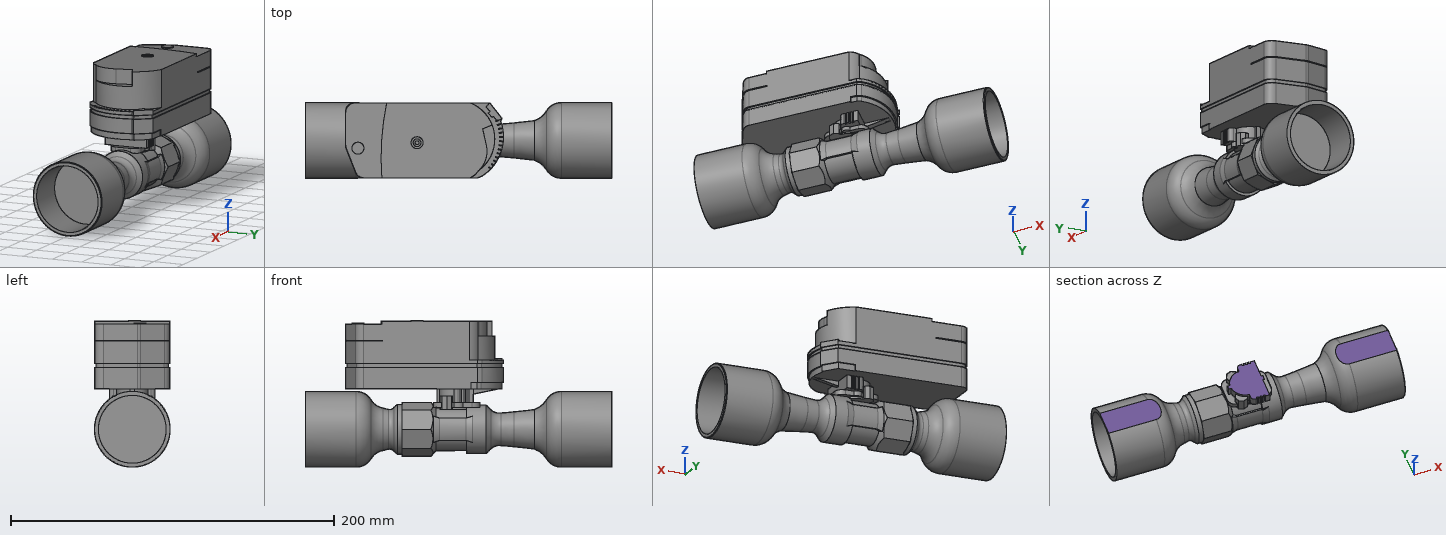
import cadquery as cq


TOTAL_LENGTH = 190.0
SOCKET_RADIUS = 23.5
SOCKET_BORE_RADIUS = 21.0
SOCKET_LENGTH = 31.5
SOCKET_DEPTH = 26.5
SHOULDER_LENGTH = 9.2
SHOULDER_DROP = 5.2
THROAT_LENGTH = 7.5
LEFT_THROAT_RADIUS = 13.2
RIGHT_THROAT_RADIUS = 12.3
RIM_CHAMFER = 0.5

LEFT_TUBE_RADIUS = 12.4
LEFT_TUBE_END = 51.5
LEFT_FLARE_END = 55.0
LEFT_FLARE_RADIUS = 13.7
LEFT_COLLAR_START = 57.0
LEFT_COLLAR_RADIUS = 15.5
COLLAR_CONE_END = 114.9
COLLAR_CONE_RADIUS = 12.2
REDUCER_START = 121.2
REDUCER_START_RADIUS = 10.2
REDUCER_MIDDLE = 129.2
REDUCER_MIDDLE_RADIUS = 10.9

NUT_START = 60.0
NUT_END = 81.0
NUT_RADIUS = 16.7
NUT_SIDES = 8
NUT_BEVEL_START = 77.8
BODY_RADIUS = 13.3
BODY_COLLAR_START = 99.8
BODY_COLLAR_END = 112.0
BODY_COLLAR_RADIUS = 15.1
STRIP_RADIUS = 14.2
STRIP_HALF_HEIGHT = 6.9
STRIP_FLARED_HALF_HEIGHT = 8.2
STRIP_START = 79.4
STRIP_STRAIGHT_START = 83.0
STRIP_STRAIGHT_END = 99.5
STRIP_END = 103.6

STEM_X = 92.8
STEM_RADIUS = 9.7
STEM_RIB_REACH = 11.3
STEM_RIB_WIDTH = 2.8
BRACKET_START = 92.1
BRACKET_END = 104.1
BRACKET_HALF_WIDTH = 14.2
BRACKET_CORNER_RADIUS = 2.5
BRACKET_GROOVES_X = (95.8, 98.1, 100.2)
BRACKET_GROOVE_WIDTH = 1.0
BRACKET_GROOVE_DEPTH = 1.0
FLANGE_START = 79.3
FLANGE_END = 108.2
FLANGE_WIDTH = 20.0
FLANGE_TOP = 16.6
FLANGE_BOTTOM = 13.5
FLANGE_CORNER_RADIUS = 5.0
STEM_NUT_X = 87.6
STEM_NUT_DIAMETER = 8.4
STEM_NUT_Y = 8.0
STEM_NUT_SIDES = 8
STEM_NUT_TOP = 20.6
STEM_NUT_BOTTOM = 12.4
BOSS_X = 94.8
BOSS_RADIUS = 3.4
BOSS_Y = 8.0
GUSSET_END = 120.0
GUSSET_LOW = 21.7
GUSSET_WIDTH = 3.0

HOUSING_LEFT = 24.9
HOUSING_HALF_WIDTH = 23.3
HOUSING_BOTTOM = 25.0
HOUSING_TOP = 43.0
CORNER_RADIUS = 5.5
SLANT_TOP_Y = -4.2
SLANT_BOTTOM_X = 32.4
COVER_TOP = 67.0
COVER_ARC_START = (102.0, HOUSING_HALF_WIDTH)
COVER_ARC_MIDDLE = (117.3, 1.0)
COVER_ARC_END = (107.0, -18.9)
COVER_CORNER_MIDDLE = (104.5, -21.7)
COVER_CORNER_X = 101.5
NOSE_TIP = 122.7
NOSE_RIGHT = 125.0
NOSE_BOTTOM_X = 106.5
NOSE_CORNER_TOP = (114.2, HOUSING_HALF_WIDTH)
NOSE_CORNER_SIDE = (121.9, 13.5)
NOSE_ARC_START = (121.0, 12.0)
NOSE_ARC_MIDDLE = (NOSE_TIP, 1.0)
NOSE_ARC_END = (109.3, -22.2)

SEAM_BOTTOM = 38.3
SEAM_TOP = 40.6
SEAM_DEPTH = 0.8
LID_SEAM_Z = 54.5
LID_SEAM_HEIGHT = 0.5
LID_SEAM_DEPTH = 0.4
LID_SEAM_END = 47.8
FOOT_START = 102.5
FOOT_TOP = 29.0
FOOT_INSET = 0.9

LID_TOP = 65.1
LID_EDGE = ((50.4, HOUSING_HALF_WIDTH), (47.0, -5.7), (47.4, -HOUSING_HALF_WIDTH))
LID_BUTTON = (32.6, -4.8)
COVER_SCREW = (69.2, -1.4)
SCREW_RADIUS = 3.7
LID_BUTTON_HEIGHT = 0.6
SCREW_HEIGHT = 0.3
SCREW_RECESS_RADIUS = 2.4
SCREW_PIN_RADIUS = 1.2

POCKET_FLOOR = 57.6
POCKET_RIM = (115.9, 9.7)
POCKET_CORNER = (109.8, 7.2)
POCKET_CURVE_START = (112.1, -3.0)
POCKET_CURVE_END = (106.8, -19.2)
POCKET_OUTSIDE_X = 120.0

MARKER_TOP = 43.9
MARKER_OUTLINE = (
    NOSE_CORNER_TOP,
    NOSE_CORNER_SIDE,
    (118.7, 12.0),
    (116.5, 14.9),
    (115.7, 14.2),
    (113.2, 16.9),
    (114.4, 17.9),
    (111.9, 20.8),
)
SCALE_MARKS = 13
SCALE_FIRST_ANGLE = 24.0
SCALE_LAST_ANGLE = -41.0
SCALE_CENTER = (93.6, 1.0)
SCALE_MARK_RADIUS = 27.6
SCALE_MARK_LENGTH = 1.8
SCALE_MARK_WIDTH = 0.6
SCALE_MARK_DEPTH = 0.3


def box(x0, x1, y0, y1, z0, z1):
    """Box between opposite corners."""
    return cq.Workplane("XY").box(x1 - x0, y1 - y0, z1 - z0, centered=False).translate((x0, y0, z0))


def disc(center, radius, bottom, top):
    """Upright cylinder from bottom to top."""
    return cq.Workplane("XY", origin=(*center, bottom)).circle(radius).extrude(top - bottom)


def around_flow_axis(profile):
    """Full turn of an XY profile about X."""
    return profile.close().revolve(360, (0, 0, 0), (1, 0, 0))


def socket_end(throat_radius):
    """Socket at x = 0 with its rounded shoulder, narrowing to throat_radius."""
    shoulder_end = SOCKET_LENGTH + SHOULDER_LENGTH
    throat_end = shoulder_end + THROAT_LENGTH
    profile = (
        cq.Workplane("XY")
        .lineTo(0, SOCKET_RADIUS)
        .lineTo(SOCKET_LENGTH, SOCKET_RADIUS)
        .tangentArcPoint((shoulder_end, SOCKET_RADIUS - SHOULDER_DROP), relative=False)
        .tangentArcPoint((throat_end, throat_radius), relative=False)
        .lineTo(throat_end, 0)
    )
    bore = cq.Workplane("YZ").circle(SOCKET_BORE_RADIUS).extrude(SOCKET_DEPTH)
    return around_flow_axis(profile).cut(bore)


def tube_and_body():
    """Turned part between the two sockets."""
    start = SOCKET_LENGTH + SHOULDER_LENGTH + THROAT_LENGTH
    end = TOTAL_LENGTH - start
    profile = (
        cq.Workplane("XY")
        .moveTo(start, 0)
        .lineTo(start, LEFT_THROAT_RADIUS)
        .lineTo(LEFT_TUBE_END, LEFT_TUBE_RADIUS)
        .tangentArcPoint((LEFT_FLARE_END, LEFT_FLARE_RADIUS), relative=False)
        .lineTo(LEFT_COLLAR_START, LEFT_COLLAR_RADIUS)
        .lineTo(NUT_START, LEFT_COLLAR_RADIUS)
        .lineTo(NUT_START, BODY_RADIUS)
        .lineTo(BODY_COLLAR_START, BODY_RADIUS)
        .lineTo(BODY_COLLAR_START, BODY_COLLAR_RADIUS)
        .lineTo(BODY_COLLAR_END, BODY_COLLAR_RADIUS)
        .lineTo(COLLAR_CONE_END, COLLAR_CONE_RADIUS)
        .tangentArcPoint((REDUCER_START, REDUCER_START_RADIUS), relative=False)
        .lineTo(REDUCER_MIDDLE, REDUCER_MIDDLE_RADIUS)
        .lineTo(end, RIGHT_THROAT_RADIUS)
        .lineTo(end, 0)
    )
    return around_flow_axis(profile)


def octagon_nut():
    """Octagon with a corner facing -Y, bevelled toward the body."""
    nut = (
        cq.Workplane("YZ", origin=(NUT_START, 0, 0))
        .polygon(NUT_SIDES, 2 * NUT_RADIUS)
        .extrude(NUT_END - NUT_START)
    )
    envelope = around_flow_axis(
        cq.Workplane("XY")
        .moveTo(NUT_START, 0)
        .lineTo(NUT_START, NUT_RADIUS)
        .lineTo(NUT_BEVEL_START, NUT_RADIUS)
        .lineTo(NUT_END, BODY_RADIUS)
        .lineTo(NUT_END, 0)
    )
    return nut.intersect(envelope)


def strip_outline():
    """Slab behind the side strip's outline, from the flow axis out past the body on -Y."""
    corners = (
        (STRIP_START, STRIP_FLARED_HALF_HEIGHT),
        (STRIP_STRAIGHT_START, STRIP_HALF_HEIGHT),
        (STRIP_STRAIGHT_END, STRIP_HALF_HEIGHT),
        (STRIP_END, STRIP_FLARED_HALF_HEIGHT),
    )
    lower_corners = [(x, -z) for x, z in reversed(corners)]
    return cq.Workplane("XZ").polyline([*corners, *lower_corners]).close().extrude(NUT_RADIUS)


def strip_round():
    """Turned shape of the side strip's surface, rising to the collar at both ends."""
    return around_flow_axis(
        cq.Workplane("XY")
        .moveTo(STRIP_START, 0)
        .lineTo(STRIP_START, BODY_COLLAR_RADIUS)
        .lineTo(STRIP_STRAIGHT_START, STRIP_RADIUS)
        .lineTo(STRIP_STRAIGHT_END, STRIP_RADIUS)
        .lineTo(STRIP_END, BODY_COLLAR_RADIUS)
        .lineTo(STRIP_END, 0)
    )


def valve():
    slabs = strip_outline().union(strip_outline().mirror("XZ"))
    body = tube_and_body().cut(slabs).union(slabs.intersect(strip_round()))
    right_end = socket_end(RIGHT_THROAT_RADIUS).mirror("YZ").translate((TOTAL_LENGTH, 0, 0))
    outer_rim = cq.selectors.RadiusNthSelector(-1)
    right_end = right_end.faces(">X").edges("%CIRCLE").edges(outer_rim).chamfer(RIM_CHAMFER)
    return body.union(octagon_nut()).union(socket_end(LEFT_THROAT_RADIUS)).union(right_end)


def bracket():
    """Block beside the stem, with upright grooves in both sides."""
    block = box(
        BRACKET_START, BRACKET_END, -BRACKET_HALF_WIDTH, BRACKET_HALF_WIDTH, FLANGE_TOP, HOUSING_BOTTOM
    )
    block = block.edges("|Z and <X").fillet(BRACKET_CORNER_RADIUS)
    inner = BRACKET_HALF_WIDTH - BRACKET_GROOVE_DEPTH
    for x in BRACKET_GROOVES_X:
        groove_end = x + BRACKET_GROOVE_WIDTH
        groove = box(x, groove_end, inner, BRACKET_HALF_WIDTH, FLANGE_TOP, HOUSING_BOTTOM)
        block = block.cut(groove).cut(groove.mirror("XZ"))
    return block


def bonnet():
    """Flange, stem and stiffening that carry the actuator."""
    half_flange = FLANGE_WIDTH / 2
    flange = box(FLANGE_START, FLANGE_END, -half_flange, half_flange, FLANGE_BOTTOM, FLANGE_TOP)
    flange = flange.edges("|Z").fillet(FLANGE_CORNER_RADIUS)
    stem = disc((STEM_X, 0), STEM_RADIUS, STEM_NUT_BOTTOM, HOUSING_BOTTOM)
    half_rib = STEM_RIB_WIDTH / 2
    rib = box(STEM_X - STEM_RIB_REACH, STEM_X, -half_rib, half_rib, 0, HOUSING_BOTTOM)
    gusset = (
        cq.Workplane("XZ")
        .moveTo(STEM_X, GUSSET_LOW)
        .lineTo(BRACKET_END, GUSSET_LOW)
        .lineTo(GUSSET_END, HOUSING_BOTTOM)
        .lineTo(STEM_X, HOUSING_BOTTOM)
        .close()
        .extrude(GUSSET_WIDTH / 2, both=True)
    )
    stem_nut = (
        cq.Workplane("XY", origin=(STEM_NUT_X, 0, STEM_NUT_BOTTOM))
        .polygon(STEM_NUT_SIDES, STEM_NUT_DIAMETER)
        .extrude(STEM_NUT_TOP - STEM_NUT_BOTTOM)
    )
    supports = flange.union(stem).union(rib).union(gusset).union(bracket())
    for side in (-1, 1):
        supports = supports.union(stem_nut.translate((0, side * STEM_NUT_Y, 0)))
        supports = supports.union(disc((BOSS_X, side * BOSS_Y), BOSS_RADIUS, FLANGE_BOTTOM, FLANGE_TOP))
    return supports


def left_end_outline(first_x):
    """Open outline from (first_x, -Y side) round the left end to its +Y corner."""
    return (
        cq.Workplane("XY")
        .moveTo(first_x, -HOUSING_HALF_WIDTH)
        .lineTo(SLANT_BOTTOM_X, -HOUSING_HALF_WIDTH)
        .lineTo(HOUSING_LEFT, SLANT_TOP_Y)
        .lineTo(HOUSING_LEFT, HOUSING_HALF_WIDTH)
    )


def raise_outline(outline, bottom, top):
    """Extrude a closed outline between two heights and round its left-end corners."""
    height = top - bottom
    solid = outline.close().extrude(height)
    corners = (
        (SLANT_BOTTOM_X, -HOUSING_HALF_WIDTH),
        (HOUSING_LEFT, SLANT_TOP_Y),
        (HOUSING_LEFT, HOUSING_HALF_WIDTH),
    )
    for x, y in corners:
        nearest = cq.selectors.NearestToPointSelector((x, y, height / 2))
        solid = solid.edges("|Z").edges(nearest).fillet(CORNER_RADIUS)
    return solid.translate((0, 0, bottom))


def housing_block(bottom, top):
    """Part of the lower housing, with the wide scale nose on its right."""
    outline = (
        left_end_outline(NOSE_BOTTOM_X)
        .lineTo(*NOSE_CORNER_TOP)
        .lineTo(*NOSE_CORNER_SIDE)
        .lineTo(*NOSE_ARC_START)
        .threePointArc(NOSE_ARC_MIDDLE, NOSE_ARC_END)
    )
    return raise_outline(outline, bottom, top)


def cover_block(bottom, top):
    """Part of the cover, with its rounded right end."""
    outline = (
        left_end_outline(COVER_CORNER_X)
        .lineTo(*COVER_ARC_START)
        .threePointArc(COVER_ARC_MIDDLE, COVER_ARC_END)
        .threePointArc(COVER_CORNER_MIDDLE, (COVER_CORNER_X, -HOUSING_HALF_WIDTH))
    )
    return raise_outline(outline, bottom, top)


def skin(block, depth):
    """Outer layer of an upright block, of the given thickness."""
    height = block.val().BoundingBox().zlen
    inner_outline = block.faces("<Z").wires().val().offset2D(-depth)[0]
    return block.cut(cq.Workplane(cq.Solid.extrudeLinear(inner_outline, [], cq.Vector(0, 0, height))))


def across_actuator(x0, x1):
    """Box over the whole width and height of the actuator."""
    return box(x0, x1, -HOUSING_HALF_WIDTH, HOUSING_HALF_WIDTH, 0, COVER_TOP)


def housing():
    block = housing_block(HOUSING_BOTTOM, HOUSING_TOP)
    block = block.cut(skin(housing_block(SEAM_BOTTOM, SEAM_TOP), SEAM_DEPTH))
    foot_skin = skin(housing_block(HOUSING_BOTTOM, FOOT_TOP), FOOT_INSET)
    block = block.cut(foot_skin.intersect(across_actuator(FOOT_START, NOSE_RIGHT)))
    marker = cq.Workplane("XY", origin=(0, 0, SEAM_TOP)).polyline(MARKER_OUTLINE).close()
    return block.union(marker.extrude(MARKER_TOP - SEAM_TOP))


def scale_marks():
    """Radial grooves along the rim of the scale nose."""
    step = (SCALE_LAST_ANGLE - SCALE_FIRST_ANGLE) / (SCALE_MARKS - 1)
    inner = SCALE_MARK_RADIUS - SCALE_MARK_LENGTH / 2
    outer = SCALE_MARK_RADIUS + SCALE_MARK_LENGTH / 2
    half_width = SCALE_MARK_WIDTH / 2
    mark = box(inner, outer, -half_width, half_width, HOUSING_TOP - SCALE_MARK_DEPTH, HOUSING_TOP)
    marks = cq.Workplane("XY")
    for index in range(SCALE_MARKS):
        turned = mark.rotate((0, 0, 0), (0, 0, 1), SCALE_FIRST_ANGLE + index * step)
        marks = marks.add(turned.translate((*SCALE_CENTER, 0)))
    return marks.combine()


def lid_step():
    """Material above the lid, left of its curved edge."""
    first, middle, last = LID_EDGE
    return (
        cq.Workplane("XY", origin=(0, 0, LID_TOP))
        .moveTo(0, first[1])
        .lineTo(*first)
        .threePointArc(middle, last)
        .lineTo(0, last[1])
        .close()
        .extrude(COVER_TOP - LID_TOP)
    )


def end_pocket():
    """Pocket in the right end of the cover, open to its rounded side."""
    return (
        cq.Workplane("XY", origin=(0, 0, POCKET_FLOOR))
        .moveTo(*POCKET_CORNER)
        .lineTo(*POCKET_CURVE_START)
        .tangentArcPoint(POCKET_CURVE_END, relative=False)
        .lineTo(POCKET_OUTSIDE_X, POCKET_CURVE_END[1])
        .lineTo(POCKET_OUTSIDE_X, POCKET_RIM[1])
        .lineTo(*POCKET_RIM)
        .close()
        .extrude(COVER_TOP - POCKET_FLOOR)
    )


def cover():
    block = cover_block(HOUSING_TOP, COVER_TOP)
    block = block.cut(lid_step()).cut(end_pocket())
    seam = skin(cover_block(LID_SEAM_Z, LID_SEAM_Z + LID_SEAM_HEIGHT), LID_SEAM_DEPTH)
    block = block.cut(seam.intersect(across_actuator(0, LID_SEAM_END)))
    block = block.union(disc(LID_BUTTON, SCREW_RADIUS, LID_TOP, LID_TOP + LID_BUTTON_HEIGHT))
    head_top = COVER_TOP + SCREW_HEIGHT
    block = block.union(disc(COVER_SCREW, SCREW_RADIUS, COVER_TOP, head_top))
    block = block.cut(disc(COVER_SCREW, SCREW_RECESS_RADIUS, COVER_TOP, head_top))
    return block.union(disc(COVER_SCREW, SCREW_PIN_RADIUS, COVER_TOP, head_top))


result = valve().union(bonnet()).union(housing().cut(scale_marks())).union(cover())